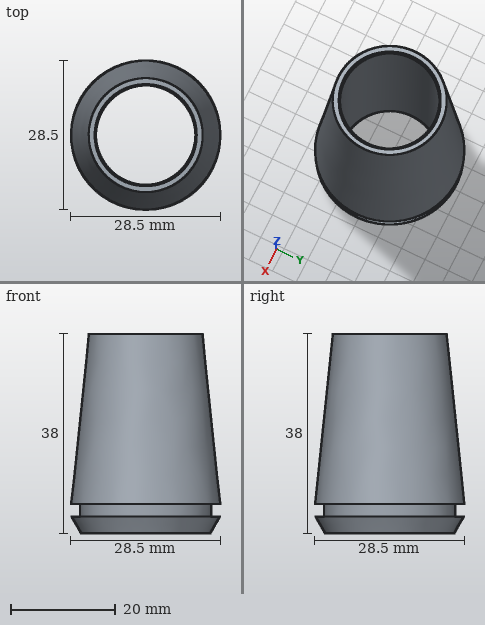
import cadquery as cq

total_height = 38.0
body_radius = 14.25
top_radius = 10.85
groove_radius = 12.55
collar_radius = 14.15
foot_radius = 12.3
collar_height = 3.2
groove_top = 5.6
bore_radius = 9.45
recess_radius = 9.73
recess_depth = 0.38

profile = (
    cq.Workplane("YZ")
    .lineTo(-foot_radius, 0)
    .lineTo(-collar_radius, collar_height)
    .lineTo(-groove_radius, collar_height)
    .lineTo(-groove_radius, groove_top)
    .lineTo(-body_radius, groove_top)
    .lineTo(-top_radius, total_height)
    .lineTo(0, total_height)
    .close()
)
sleeve = profile.revolve(360, (0, 0, 0), (0, 1, 0))

bore = cq.Workplane("XY").circle(bore_radius).extrude(total_height)
recess = (
    cq.Workplane("XY", origin=(0, 0, total_height))
    .circle(recess_radius)
    .extrude(-recess_depth)
)
result = sleeve.cut(bore).cut(recess)